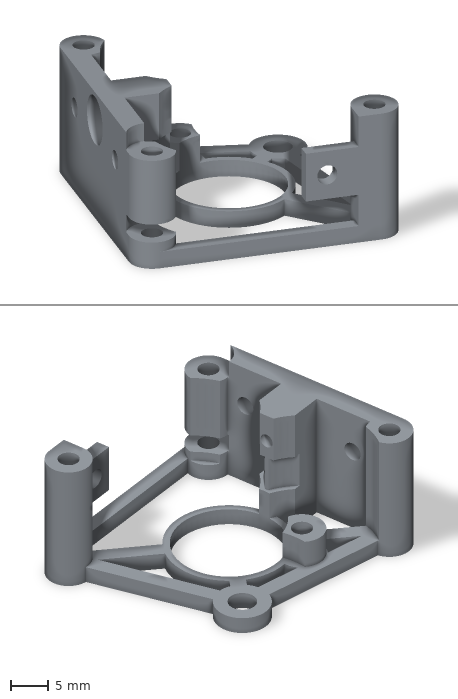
import cadquery as cq
import math

length_x = 37.0
length_y = 38.0
height = 18.6
plate_height = 2.45
mid_x = length_x / 2

post_radius = 3.25
post_hole = 3.0
post_sw = (post_radius, post_radius)
post_se = (length_x - post_radius, post_radius)
post_ne = (length_x - post_radius, length_y - post_radius)

ring_center = (mid_x, length_y / 2)
ring_bore = 16.0
ring_outer_radius = 9.0
boss_center = (8.75, 29.02)
boss_radius = 4.0
boss_hole = 4.0
pivot_center = (9.2, 15.0)
pivot_mirror = (length_x - pivot_center[0], pivot_center[1])
pivot_foot_radius = 3.475
pivot_radius = 3.3
pivot_top = 6.55
pivot_relief_radius = 11.78

strut_width = 2.28
rail_width = 2.0
tab_end_y = 24.0
tab_bottom = 7.05
tab_top = 14.15
tab_hole = 2.8
tab_hole_y = 27.05

wall_thickness = post_radius
pad_width = 6.0
pad_end_y = 10.52
pad_foot_end_y = 11.15
pad_relief_radius = 9.3
pad_groove_radius = 10.05
pad_groove_top = 11.78
post_relief_radius = 10.83
side_hole = 2.7
side_hole_offset = 9.05
side_hole_z = 12.45
center_hole = 2.0
center_hole_z = 14.47
counterbore = 7.0
counterbore_depth = 2.5

hinge_gap = 2.65
hinge_gap_radius = 3.475
hinge_gap_bottoms = (pivot_top - hinge_gap, height - hinge_gap)


def cylinder(center, radius, bottom, top):
    """Upright cylinder between two heights."""
    return cq.Workplane("XY", origin=(*center, bottom)).circle(radius).extrude(top - bottom)


def box(x_range, y_range, z_range):
    """Box given by its limits along each axis."""
    sizes = [high - low for low, high in (x_range, y_range, z_range)]
    corner = (x_range[0], y_range[0], z_range[0])
    return cq.Workplane("XY").box(*sizes, centered=False).translate(corner)


def strut(start, end):
    """Straight bar of plate height joining two centers."""
    run_x = end[0] - start[0]
    run_y = end[1] - start[1]
    middle = ((start[0] + end[0]) / 2, (start[1] + end[1]) / 2, plate_height / 2)
    bar = cq.Workplane("XY").box(math.hypot(run_x, run_y), strut_width, plate_height)
    return bar.rotate((0, 0, 0), (0, 0, 1), math.degrees(math.atan2(run_y, run_x))).translate(middle)


def front_hole(x, z, diameter, depth):
    """Cylinder running into the part from the front face."""
    plane = cq.Workplane("XZ", origin=(x, 0, z))
    return plane.circle(diameter / 2).extrude(-depth)


def make_base():
    """Flat frame: ring, bosses, struts and side rail."""
    base = cylinder(ring_center, ring_outer_radius, 0, plate_height)
    base = base.union(cylinder(boss_center, boss_radius, 0, plate_height))
    base = base.union(cylinder(pivot_center, pivot_foot_radius, 0, plate_height))
    for center in (post_sw, post_se):
        base = base.union(cylinder(center, post_radius, 0, plate_height))
    for start, end in (
        (ring_center, post_sw),
        (ring_center, post_ne),
        (ring_center, boss_center),
        (boss_center, post_sw),
        (boss_center, post_ne),
    ):
        base = base.union(strut(start, end))
    rail = box((length_x - rail_width, length_x), (post_se[1], post_ne[1]), (0, plate_height))
    return base.union(rail)


def make_wall():
    """Front wall and posts, with clearances for the wheels on the two pivots."""
    wall = box((post_sw[0], post_se[0]), (0, wall_thickness), (0, height))
    pad_x = (mid_x - pad_width / 2, mid_x + pad_width / 2)
    pad = box(pad_x, (0, pad_end_y), (0, height))
    pad = pad.union(box(pad_x, (0, pad_foot_end_y), (0, pivot_top)))
    posts = cylinder(post_sw, post_radius, 0, height)
    posts = posts.union(cylinder(post_se, post_radius, 0, height))
    for center in (pivot_center, pivot_mirror):
        pad = pad.cut(cylinder(center, pad_relief_radius, 0, height))
        pad = pad.cut(cylinder(center, pad_groove_radius, pivot_top, pad_groove_top))
        posts = posts.cut(cylinder(center, post_relief_radius, plate_height, height))
    wall = wall.union(pad).union(posts)
    for bottom in hinge_gap_bottoms:
        wall = wall.cut(cylinder(post_se, hinge_gap_radius, bottom, bottom + hinge_gap))
    for offset in (-side_hole_offset, side_hole_offset):
        wall = wall.cut(front_hole(mid_x + offset, side_hole_z, side_hole, wall_thickness))
    wall = wall.cut(front_hole(mid_x, center_hole_z, center_hole, pad_end_y))
    return wall.cut(front_hole(mid_x, center_hole_z, counterbore, counterbore_depth))


def make_rear_post():
    """North-east post with a square corner and a drilled tab."""
    post = cylinder(post_ne, post_radius, 0, height)
    corner_y = post_ne[1] - post_radius
    post = post.union(box((post_ne[0], length_x), (corner_y, post_ne[1]), (0, height)))
    tab = box((length_x - rail_width, length_x), (tab_end_y, post_ne[1]), (tab_bottom, tab_top))
    hole_origin = (length_x, tab_hole_y, (tab_bottom + tab_top) / 2)
    hole = cq.Workplane("YZ", origin=hole_origin).circle(tab_hole / 2).extrude(-rail_width)
    return post.union(tab.cut(hole))


def make_pivot():
    """Pivot boss, hollowed on one side for a wheel turning about the open boss."""
    pivot = cylinder(pivot_center, pivot_radius, 0, pivot_top)
    return pivot.cut(cylinder(boss_center, pivot_relief_radius, plate_height, pivot_top))


result = make_base().union(make_wall()).union(make_rear_post()).union(make_pivot())

result = result.cut(cylinder(ring_center, ring_bore / 2, 0, height))
result = result.cut(cylinder(boss_center, boss_hole / 2, 0, height))
for hole_center in (post_sw, post_se, post_ne, pivot_center):
    result = result.cut(cylinder(hole_center, post_hole / 2, 0, height))